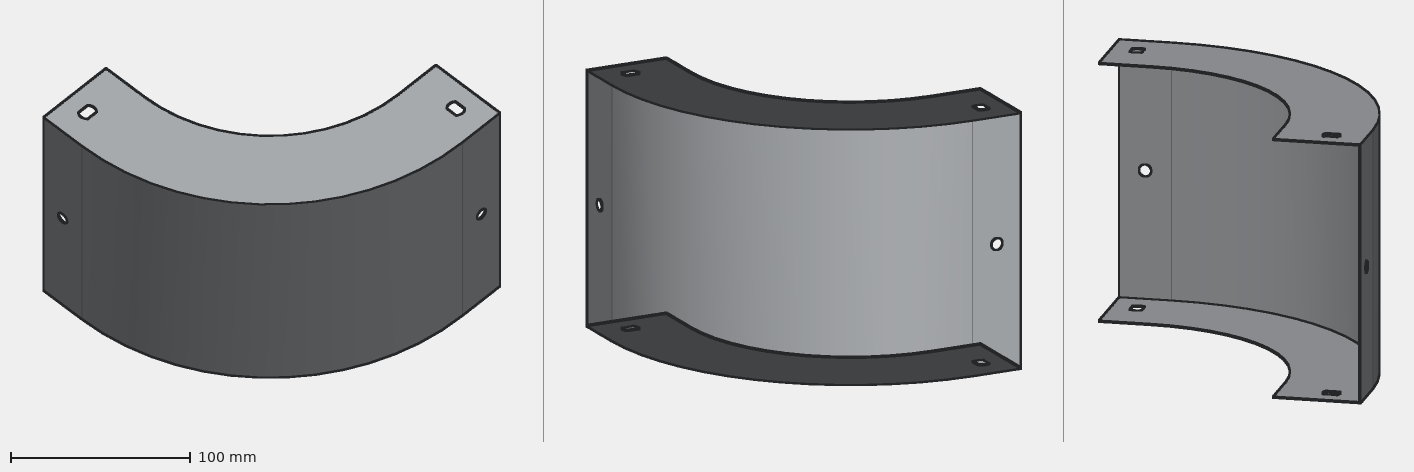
import cadquery as cq
import math

side = 180.0
height = 150.0
flange_width = 50.0
straight_length = 30.0
sheet = 0.8

hole_diameter = 7.0
slot_length = 10.0
slot_end_rise = 1.3
end_distance = 15.0
slot_wall_distance = 20.0

outer_radius = side - straight_length
cut_depth = 2 * sheet


def bend_band(inner_offset, depth):
    """Extrude the quarter-turn strip between the outer face and an inward offset."""
    bend_x = straight_length
    center_y = outer_radius
    inner_radius = outer_radius - inner_offset
    diagonal = math.sqrt(0.5)
    return (
        cq.Workplane("XY")
        .moveTo(0, 0)
        .lineTo(bend_x, 0)
        .threePointArc(
            (bend_x + outer_radius * diagonal, center_y - outer_radius * diagonal),
            (side, center_y),
        )
        .lineTo(side, side)
        .lineTo(side - inner_offset, side)
        .lineTo(side - inner_offset, center_y)
        .threePointArc(
            (bend_x + inner_radius * diagonal, center_y - inner_radius * diagonal),
            (bend_x, inner_offset),
        )
        .lineTo(0, inner_offset)
        .close()
        .extrude(depth)
    )


def flange_slot(x, y, angle):
    """Cutter for a slot with shallow arched ends, passing through both flanges."""
    half_width = hole_diameter / 2
    half_length = slot_length / 2
    shoulder = half_length - slot_end_rise
    return (
        cq.Workplane("XY")
        .moveTo(-shoulder, -half_width)
        .lineTo(shoulder, -half_width)
        .threePointArc((half_length, 0), (shoulder, half_width))
        .lineTo(-shoulder, half_width)
        .threePointArc((-half_length, 0), (-shoulder, -half_width))
        .close()
        .extrude(height)
        .rotate((0, 0, 0), (0, 0, 1), angle)
        .translate((x, y, 0))
    )


def wall_hole(plane, center):
    """Cutter for a round hole at mid height, centred on the outer wall face."""
    return (
        cq.Workplane(plane, origin=center)
        .circle(hole_diameter / 2)
        .extrude(-cut_depth)
    )


wall = bend_band(sheet, height)
bottom_flange = bend_band(flange_width, sheet)
top_flange = bottom_flange.translate((0, 0, height - sheet))
channel = wall.union(bottom_flange).union(top_flange)

channel = channel.cut(flange_slot(end_distance, slot_wall_distance, 90))
channel = channel.cut(flange_slot(side - slot_wall_distance, side - end_distance, 0))

channel = channel.cut(wall_hole("XZ", (end_distance, 0, height / 2)))
channel = channel.cut(wall_hole("YZ", (side, side - end_distance, height / 2)))

result = channel